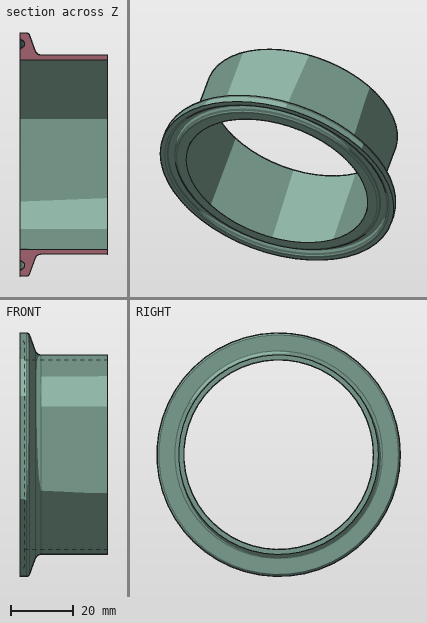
import cadquery as cq
import math

length = 28.0
flange_radius = 77.5 / 2
tube_radius = 63.5 / 2
bore_radius = 60.2 / 2

rim_width = 2.2
taper_angle = math.radians(20)
rim_round = 1.0
neck_fillet = 1.9

groove_radius = 35.3
groove_half_width = 1.98
groove_wall_angle = math.radians(65)
groove_lip_round = 0.8
groove_floor_round = 1.25


def arc_point(center, radius, angle):
    """Point (x, r) on a circle; the angle is measured from +r toward +x."""
    return (center[0] + radius * math.sin(angle), center[1] + radius * math.cos(angle))


def body_profile():
    """Half section of the ferrule; sketch x is axial, sketch y is radial."""
    normal_angle = math.pi / 2 - taper_angle
    rim_center = (rim_width, flange_radius - rim_round)
    taper_start = arc_point(rim_center, rim_round, normal_angle)

    neck_center_r = tube_radius + neck_fillet
    taper_end_r = neck_center_r - neck_fillet * math.cos(normal_angle)
    taper_end_x = taper_start[0] + (taper_start[1] - taper_end_r) * math.tan(taper_angle)
    neck_center = (taper_end_x + neck_fillet * math.sin(normal_angle), neck_center_r)

    return (
        cq.Workplane("XY")
        .moveTo(0, bore_radius)
        .lineTo(0, flange_radius)
        .lineTo(rim_width, flange_radius)
        .threePointArc(arc_point(rim_center, rim_round, normal_angle / 2), taper_start)
        .lineTo(taper_end_x, taper_end_r)
        .threePointArc(
            arc_point(neck_center, -neck_fillet, normal_angle / 2),
            (neck_center[0], tube_radius),
        )
        .lineTo(length, tube_radius)
        .lineTo(length, bore_radius)
        .close()
    )


def groove_profile():
    """Groove section: rounded lips, short straight walls and a round floor."""
    angle = groove_wall_angle
    lip_start = (0, groove_radius + groove_half_width)
    lip_middle = (
        groove_lip_round * (1 - math.cos(angle / 2)),
        lip_start[1] - groove_lip_round * math.sin(angle / 2),
    )
    wall_start = (
        groove_lip_round * (1 - math.cos(angle)),
        lip_start[1] - groove_lip_round * math.sin(angle),
    )
    wall_end_r = groove_radius + groove_floor_round * math.sin(angle)
    wall_end_x = wall_start[0] + (wall_start[1] - wall_end_r) * math.tan(angle)
    depth = wall_end_x + groove_floor_round * (1 - math.cos(angle))

    def mirrored(point):
        return (point[0], 2 * groove_radius - point[1])

    wall_end = (wall_end_x, wall_end_r)
    return (
        cq.Workplane("XY")
        .moveTo(*lip_start)
        .threePointArc(lip_middle, wall_start)
        .lineTo(*wall_end)
        .threePointArc((depth, groove_radius), mirrored(wall_end))
        .lineTo(*mirrored(wall_start))
        .threePointArc(mirrored(lip_middle), mirrored(lip_start))
        .close()
    )


def revolve_about_x(profile):
    return profile.revolve(360, (0, 0, 0), (1, 0, 0))


result = revolve_about_x(body_profile()).cut(revolve_about_x(groove_profile()))